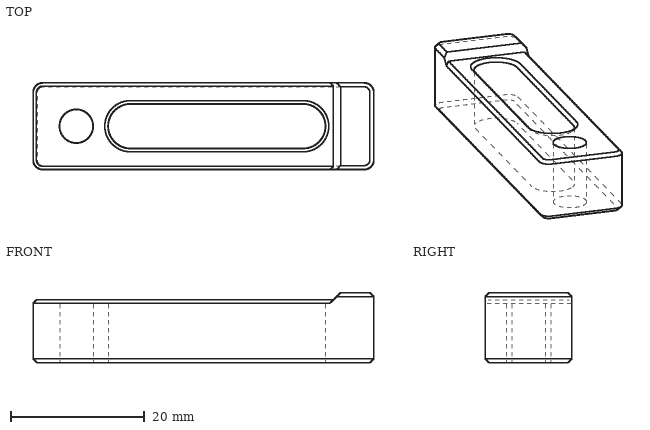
import cadquery as cq

length = 51.0
width = 13.0
height = 10.5
corner_radius = 1.5

step_height = 1.05
lip_start = 46.0
deck_height = height - step_height
ramp_start = lip_start - step_height

deck_chamfer = 0.5
lip_chamfer = 0.6
base_chamfer = 0.6

hole_diameter = 5.0
hole_x = 6.5
slot_length = 32.5
slot_width = 6.65
slot_x = 27.5
slot_chamfer = 0.5


def rounded_block(block_height, top_chamfer):
    """Full-length bar with rounded corners and chamfered top and base rims."""
    return (
        cq.Workplane("XY")
        .center(length / 2, 0)
        .rect(length, width)
        .extrude(block_height)
        .edges("|Z")
        .fillet(corner_radius)
        .faces(">Z")
        .chamfer(top_chamfer)
        .faces("<Z")
        .chamfer(base_chamfer)
    )


def lip_side():
    """Region on the +X side of the ramp plane, running down to the base."""
    return (
        cq.Workplane("XZ")
        .moveTo(ramp_start - deck_height, 0)
        .lineTo(length, 0)
        .lineTo(length, height)
        .lineTo(lip_start, height)
        .close()
        .extrude(width / 2, both=True)
    )


def slot_cutter():
    """Through slot with a chamfered rim at deck level."""
    slot = cq.Workplane("XY").center(slot_x, 0).slot2D(slot_length, slot_width).extrude(deck_height)
    rim = (
        cq.Workplane("XY", origin=(slot_x, 0, deck_height))
        .slot2D(slot_length + 2 * slot_chamfer, slot_width + 2 * slot_chamfer)
        .extrude(-2 * slot_chamfer)
        .faces("<Z")
        .chamfer(slot_chamfer)
    )
    return slot.union(rim.translate((0, 0, slot_chamfer)))


deck = rounded_block(deck_height, deck_chamfer)
lip = rounded_block(height, lip_chamfer).intersect(lip_side())
body = deck.union(lip)

hole = cq.Workplane("XY").center(hole_x, 0).circle(hole_diameter / 2).extrude(deck_height)
result = body.cut(hole).cut(slot_cutter()).clean()